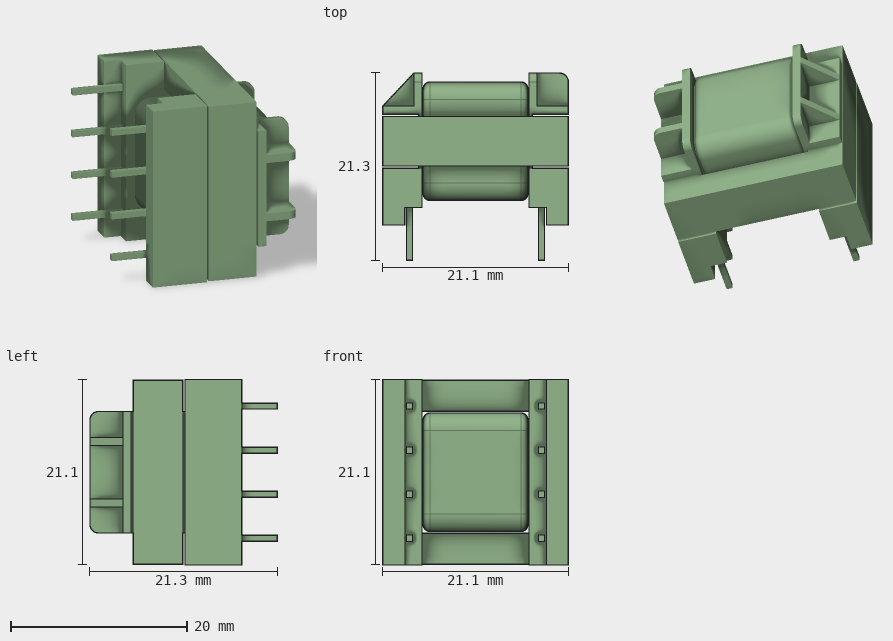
import cadquery as cq


width = 21.1
rear_y = 7.75
pin_tip_y = rear_y - 21.3

core_depth = 5.65
core_height = 20.92
window_height = 13.85

wall_inner_x = 6.07
wall_thickness = 0.38
wall_outer_x = wall_inner_x + wall_thickness
bobbin_half_depth = 3.05

winding_length = 11.9
winding_size = 13.48
winding_corner_radius = 2.0
winding_edge_radius = 0.79
neck_size = 12.0
neck_corner_radius = winding_corner_radius - (winding_size - neck_size) / 2

block_height = 21.1
block_front_y = -9.52
block_step_y = -7.55
block_lip_width = 2.51

pin_size = 0.7
pin_pitch = 5.0
pins_per_row = 4
pin_x = 7.5

guard_thickness = 0.94
ledge_rear_y = bobbin_half_depth + guard_thickness
plate_outer_x = wall_inner_x + guard_thickness
guard_corner_radius = 1.02
rib_z = 3.5


def box_between(x_range, y_range, height):
    """Box over the given X and Y ranges, centred on Z = 0."""
    x_start, x_end = x_range
    y_start, y_end = y_range
    return (
        cq.Workplane("XY")
        .box(x_end - x_start, y_end - y_start, height)
        .translate(((x_start + x_end) / 2, (y_start + y_end) / 2, 0))
    )


def make_core():
    core = cq.Workplane("XY").box(width, core_depth, core_height)
    window = cq.Workplane("XY").box(2 * wall_outer_x, core_depth, window_height)
    return core.cut(window)


def make_winding():
    coil = (
        cq.Workplane("XY")
        .box(winding_length, winding_size, winding_size)
        .edges("|X")
        .fillet(winding_corner_radius)
        .faces("<X or >X")
        .edges()
        .fillet(winding_edge_radius)
    )
    neck = (
        cq.Workplane("XY")
        .box(2 * wall_inner_x, neck_size, neck_size)
        .edges("|X")
        .fillet(neck_corner_radius)
    )
    return coil.union(neck)


def make_terminal_block():
    """Stepped block on the +X side, with its row of pins."""
    outer_x = width / 2
    lip_x = outer_x - block_lip_width
    block = box_between((wall_inner_x, outer_x), (block_step_y, -bobbin_half_depth), block_height)
    lip = box_between((lip_x, outer_x), (block_front_y, block_step_y), block_height)
    block = block.union(lip)
    pin = box_between(
        (pin_x - pin_size / 2, pin_x + pin_size / 2),
        (pin_tip_y, -bobbin_half_depth),
        pin_size,
    )
    for index in range(pins_per_row):
        pin_z = (index - (pins_per_row - 1) / 2) * pin_pitch
        block = block.union(pin.translate((0, 0, pin_z)))
    return block


def make_rear_guard():
    """Ledge and round-cornered end plate on the +X side, without ribs."""
    ledge = box_between((wall_inner_x, width / 2), (bobbin_half_depth, ledge_rear_y), window_height)
    plate = (
        box_between((wall_inner_x, plate_outer_x), (bobbin_half_depth, rear_y), window_height)
        .edges("|X and >Y")
        .fillet(guard_corner_radius)
    )
    return ledge.union(plate)


def make_end_wall():
    """Thin wall on the +X side, from the terminal block to the rear guard."""
    return box_between(
        (wall_inner_x, wall_outer_x),
        (-bobbin_half_depth, bobbin_half_depth),
        window_height,
    )


def rib_pair(rib):
    return rib.translate((0, 0, rib_z)).union(rib.translate((0, 0, -rib_z)))


def make_triangular_ribs():
    """Sloped ribs of the -X guard."""
    rib = (
        cq.Workplane("XY")
        .moveTo(-width / 2, ledge_rear_y)
        .lineTo(-plate_outer_x, ledge_rear_y)
        .lineTo(-plate_outer_x, rear_y)
        .close()
        .extrude(guard_thickness / 2, both=True)
    )
    return rib_pair(rib)


def make_rounded_ribs():
    """Rectangular ribs of the +X guard, each with one round corner."""
    rib = (
        box_between((plate_outer_x, width / 2), (ledge_rear_y, rear_y), guard_thickness)
        .edges("|Z and >X and >Y")
        .fillet(guard_corner_radius)
    )
    return rib_pair(rib)


bobbin_side = make_terminal_block().union(make_end_wall()).union(make_rear_guard())

result = (
    make_core()
    .union(bobbin_side)
    .union(bobbin_side.mirror("YZ"))
    .union(make_winding())
    .union(make_triangular_ribs())
    .union(make_rounded_ribs())
)